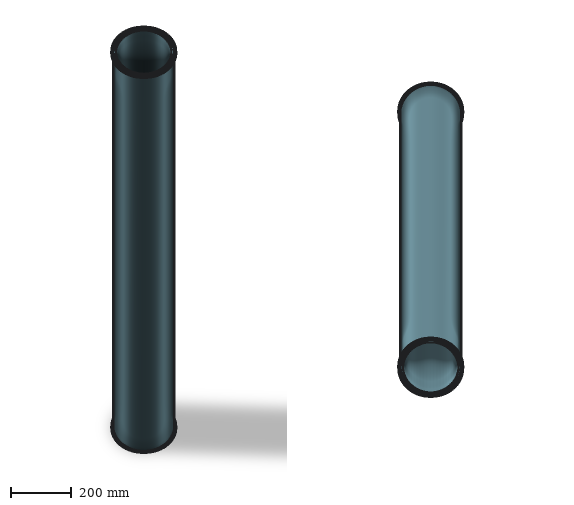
import cadquery as cq

LENGTH = 1988.0
BORE_DIAMETER = 183.0
LINER_DIAMETER = 199.0
SLEEVE_DIAMETER = 203.0
FLANGE_DIAMETER = 215.0
FLANGE_THICKNESS = 2.0


def tube(outer_diameter, inner_diameter, height, base_z):
    """Round tube along Z, standing on the height base_z."""
    return (
        cq.Workplane("XY")
        .workplane(offset=base_z)
        .circle(outer_diameter / 2)
        .circle(inner_diameter / 2)
        .extrude(height)
    )


def make_liner():
    """Plain inner tube that fills the sleeve over its full length."""
    return tube(LINER_DIAMETER, BORE_DIAMETER, LENGTH, 0)


def make_sleeve():
    """Thin outer tube with a flat flange at each end."""
    sleeve = tube(SLEEVE_DIAMETER, LINER_DIAMETER, LENGTH, 0)
    for flange_z in (0, LENGTH - FLANGE_THICKNESS):
        flange = tube(FLANGE_DIAMETER, LINER_DIAMETER, FLANGE_THICKNESS, flange_z)
        sleeve = sleeve.union(flange)
    return sleeve


liner = make_liner()
sleeve = make_sleeve()

result = cq.Compound.makeCompound([liner.val(), sleeve.val()])